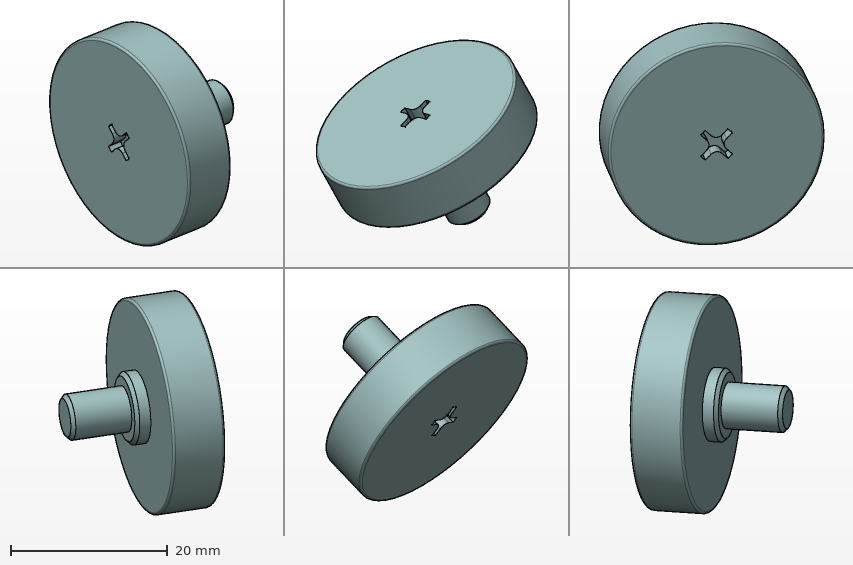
import cadquery as cq

disc_diameter = 28.0
disc_thickness = 7.0
disc_edge_radius = 0.3

collar_diameter = 9.5
collar_length = 2.0
stud_diameter = 6.0
stud_length = 8.0
end_chamfer = 0.5

recess_diameter = 5.0
recess_arm_width = 0.8
recess_corner_radius = 1.0
recess_depth = 2.0
recess_arm_angles = (45, 135)

front_y = -(disc_thickness + collar_length + stud_length) / 2
disc_back_y = front_y + disc_thickness
collar_back_y = disc_back_y + collar_length


def cylinder_along_y(diameter, length, start_y):
    """Cylinder on the Y axis that runs from start_y towards +Y."""
    plane = cq.Workplane("XZ", origin=(0, start_y, 0))
    return plane.circle(diameter / 2).extrude(-length)


def make_disc():
    disc = cylinder_along_y(disc_diameter, disc_thickness, front_y)
    return disc.edges("%CIRCLE").fillet(disc_edge_radius)


def make_collar():
    collar = cylinder_along_y(collar_diameter, collar_length, disc_back_y)
    return collar.faces(">Y").chamfer(end_chamfer)


def make_stud():
    stud = cylinder_along_y(stud_diameter, stud_length, collar_back_y)
    return stud.faces(">Y").chamfer(end_chamfer)


def make_recess_arm(angle):
    """Straight slot through the axis, longer than the finished recess."""
    return (
        cq.Workplane("XZ", origin=(0, front_y, 0))
        .transformed(rotate=(0, 0, angle))
        .rect(2 * recess_diameter, recess_arm_width)
        .extrude(-recess_depth)
    )


def make_recess():
    """Two crossed slots with rounded inner corners and ends on a common circle."""
    first_arm, second_arm = [make_recess_arm(angle) for angle in recess_arm_angles]
    cross = first_arm.union(second_arm)
    inner_corners = cq.selectors.BoxSelector(
        (-recess_arm_width, front_y, -recess_arm_width),
        (recess_arm_width, front_y + recess_depth, recess_arm_width),
    )
    cross = cross.edges("|Y").edges(inner_corners).fillet(recess_corner_radius)
    return cross.intersect(cylinder_along_y(recess_diameter, recess_depth, front_y))


result = make_disc().union(make_collar()).union(make_stud()).cut(make_recess())